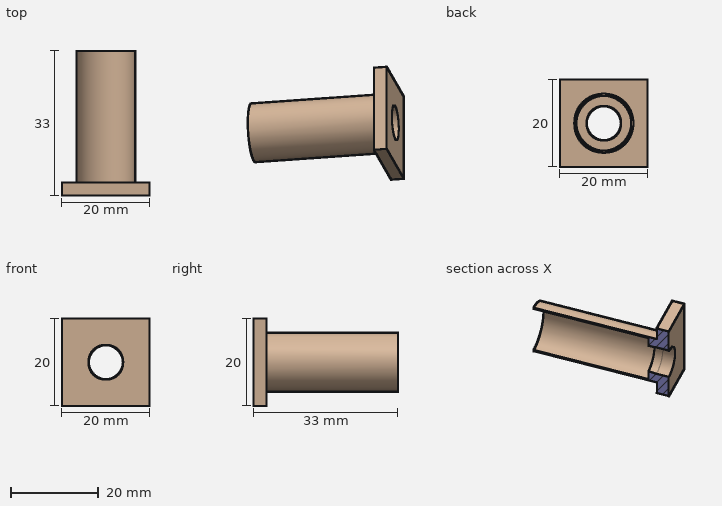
import cadquery as cq

total_length = 33
flange_side = 20.0
flange_thickness = 3.0
tube_diameter = 13.5

entry_diameter = 7.95
throat_diameter = 7.75
cavity_diameter = 12.5
taper_length = 2.0

throat_y = flange_thickness + taper_length


def make_body():
    """Square flange with a round tube standing on its +Y face."""
    flange = cq.Workplane("XY").box(
        flange_side, flange_thickness, flange_side, centered=(True, False, True)
    )
    tube = cq.Workplane("XZ").circle(tube_diameter / 2).extrude(-total_length)
    return flange.union(tube)


def make_bore():
    """Stepped bore as half a section revolved about the Y axis."""
    return (
        cq.Workplane("XY")
        .moveTo(0, 0)
        .lineTo(entry_diameter / 2, 0)
        .lineTo(entry_diameter / 2, flange_thickness)
        .lineTo(throat_diameter / 2, throat_y)
        .lineTo(cavity_diameter / 2, throat_y)
        .lineTo(cavity_diameter / 2, total_length)
        .lineTo(0, total_length)
        .close()
        .revolve(360, (0, 0), (0, 1))
    )


result = make_body().cut(make_bore())